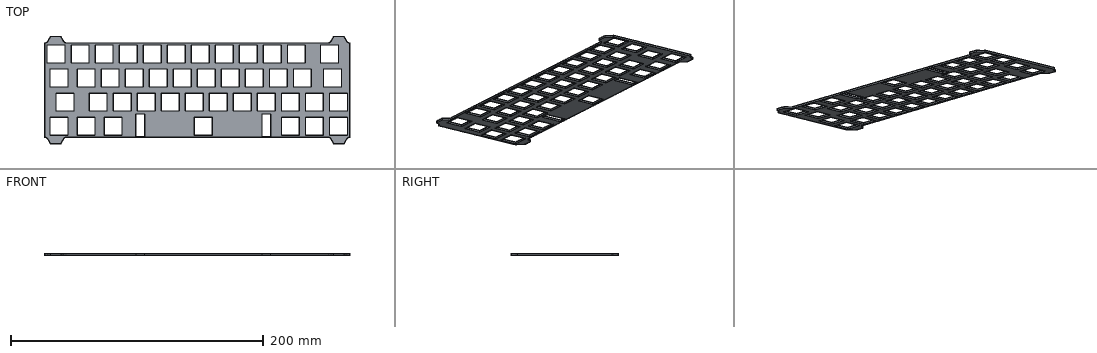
import cadquery as cq

plate_length = 241.8
total_width = 85.1
thickness = 1.5
tab_reach = 5.0
body_width = total_width - 2 * tab_reach

tab_tip_inset = 4.5
tab_tip_length = 8.2
tab_side_run = 3.0
tab_blend_radius = 2.2

space_bar_width = 6.25
row_key_widths = [
    [1] * 11 + [1.75],
    [1.25] + [1] * 10 + [1.5],
    [1.75] + [1] * 11,
    [1.25, 1, 1.25, space_bar_width, 1, 1, 1],
]
layout_length = 242.8
key_pitch = layout_length / sum(row_key_widths[0])
switch_size = 14.0

stabilizer_spacing = 100.0
slot_length = 6.8
slot_width = 17.7
slot_edge_margin = 0.7

tolerance = 0.002


def make_body():
    return cq.Workplane("XY").box(plate_length, body_width, thickness)


def make_tab():
    """Tab at the -X end of the +Y edge."""
    base_y = body_width / 2
    tip_y = base_y + tab_reach
    tip_start = -plate_length / 2 + tab_tip_inset
    tip_end = tip_start + tab_tip_length
    return (
        cq.Workplane("XY")
        .workplane(offset=-thickness / 2)
        .moveTo(tip_start - tab_side_run, base_y)
        .lineTo(tip_start, tip_y)
        .lineTo(tip_end, tip_y)
        .lineTo(tip_end + tab_side_run, base_y)
        .close()
        .extrude(thickness)
    )


def add_tabs(body):
    left_tabs = make_tab().union(make_tab().mirror("XZ"))
    return body.union(left_tabs).union(left_tabs.mirror("YZ"))


def is_tab_root(edge):
    """True for an edge where a tab side meets the long edge of the body."""
    center = edge.Center()
    on_long_edge = abs(abs(center.y) - body_width / 2) < tolerance
    inside_ends = abs(center.x) < plate_length / 2 - tolerance
    return on_long_edge and inside_ends


def blend_tabs(plate):
    return plate.edges("|Z").filter(is_tab_root).fillet(tab_blend_radius)


def locate_keys():
    """List the center and the width in key units of every key."""
    keys = []
    for row, widths in enumerate(row_key_widths):
        y = ((len(row_key_widths) - 1) / 2 - row) * key_pitch
        left = -layout_length / 2
        for width in widths:
            keys.append((left + width * key_pitch / 2, y, width))
            left += width * key_pitch
    return keys


def cut_rectangles(plate, centers, x_size, y_size):
    """Cut a rectangle through the plate at every center."""
    cutters = (
        cq.Workplane("XY")
        .pushPoints(centers)
        .rect(x_size, y_size)
        .extrude(thickness, both=True)
    )
    return plate.cut(cutters)


def cut_switches(plate, keys):
    centers = [(x, y) for x, y, width in keys]
    return cut_rectangles(plate, centers, switch_size, switch_size)


def cut_stabilizer_slots(plate, keys):
    slot_y = -body_width / 2 + slot_edge_margin + slot_width / 2
    centers = [
        (x + side * stabilizer_spacing / 2, slot_y)
        for x, y, width in keys
        if width == space_bar_width
        for side in (-1, 1)
    ]
    return cut_rectangles(plate, centers, slot_length, slot_width)


keys = locate_keys()
plate = blend_tabs(add_tabs(make_body()))
plate = cut_switches(plate, keys)
result = cut_stabilizer_slots(plate, keys)